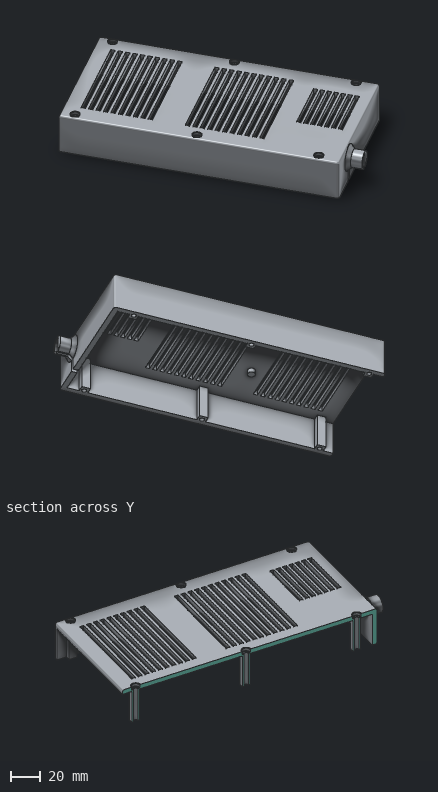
import cadquery as cq

total_length = 207.0
body_length = 196.0
body_width = 98.0
body_height = 29.0
edge_radius = 2.0
wall = 4.0
left_face = -body_length / 2
right_face = body_length / 2
back_face = body_width / 2
ceiling = body_height - wall

post_length = 6.2
post_width = 7.0
screw_first_x = left_face + 10.4
screw_span_x = 170.0
screw_columns = 3
screw_pitch_x = screw_span_x / (screw_columns - 1)
screw_pitch_y = 88.5
screw_offset_y = 0.6
screw_diameter = 3.3
screw_head_diameter = 6.0
screw_head_depth = 2.5
screw_rim_chamfer = 0.5
screw_lead_in = 0.6
chamfer_angle = 45

large_slot_rows = [(12.0, 49.7, 10), (84.7, 54.9, 11)]
small_slot_row = (155.0, 31.9, 7)
slot_width = 3.0
large_slot_length = 70.4
large_slot_centre_y = back_face - 48.9
small_slot_length = 40.0
small_slot_centre_y = back_face - 39.1

pin_diameter = 5.4
pin_length = 3.3
pin_x = left_face + 72.7
pin_back_y = back_face - 20.3
pin_spacing = 40.2

outlet_y = back_face - 75.0
outlet_z = 18.5
outlet_diameter = 12.8
outlet_flare = 3.1
flare_root = 2.0
tube_length = total_length - body_length
cable_diameter = 10.0
cable_slit = 2.7


def cover_shell():
    """Rounded box, open underneath and at the -X end."""
    block = cq.Workplane("XY").box(body_length, body_width, body_height, centered=(True, True, False))
    block = block.edges("|Z").fillet(edge_radius)
    block = block.faces(">Z").edges().fillet(edge_radius)
    cavity = cq.Workplane("XY").box(
        body_length, body_width - 2 * wall, ceiling, centered=(True, True, False)
    )
    return block.cut(cavity.translate((-wall, 0, 0)))


def screw_centres():
    """Centres of the two rows of screws along the long walls."""
    return [
        (screw_first_x + column * screw_pitch_x, screw_offset_y + side * screw_pitch_y / 2)
        for column in range(screw_columns)
        for side in (-1, 1)
    ]


def screw_posts():
    """Full-height rectangular posts merging into the long walls."""
    return cq.Workplane("XY").pushPoints(screw_centres()).rect(post_length, post_width).extrude(ceiling)


def screw_plugs(top, diameter, depth, taper=0):
    """One downward plug per screw, narrowing by the taper angle."""
    plane = cq.Workplane("XY", origin=(0, 0, top))
    return plane.pushPoints(screw_centres()).circle(diameter / 2).extrude(-depth, taper=taper)


def screw_holes():
    """Through holes with a chamfered counterbore and a conical lead-in at its floor."""
    head_floor = body_height - screw_head_depth
    rim_diameter = screw_head_diameter + 2 * screw_rim_chamfer
    lead_in_diameter = screw_diameter + 2 * screw_lead_in
    return (
        screw_plugs(body_height, screw_diameter, body_height)
        .union(screw_plugs(body_height, screw_head_diameter, screw_head_depth))
        .union(screw_plugs(body_height, rim_diameter, screw_rim_chamfer, taper=chamfer_angle))
        .union(screw_plugs(head_floor, lead_in_diameter, screw_lead_in, taper=chamfer_angle))
    )


def vent_slots(offset, row_length, count, slot_length, centre_y):
    """Evenly spaced row of slots through the top plate, starting at an offset from the -X face."""
    pitch = (row_length - slot_width) / (count - 1)
    first_x = left_face + offset + slot_width / 2
    centres = [(first_x + index * pitch, centre_y) for index in range(count)]
    return (
        cq.Workplane("XY", origin=(0, 0, ceiling))
        .pushPoints(centres)
        .rect(slot_width, slot_length)
        .extrude(wall)
    )


def locating_pins():
    """Two round pins hanging from the ceiling."""
    centres = [(pin_x, pin_back_y), (pin_x, pin_back_y - pin_spacing)]
    return (
        cq.Workplane("XY", origin=(0, 0, ceiling))
        .pushPoints(centres)
        .circle(pin_diameter / 2)
        .extrude(-pin_length)
    )


def cable_outlet():
    """Tube along X with a 45 degree flare rooted in the wall."""
    radius = outlet_diameter / 2
    profile = [
        (-flare_root, 0),
        (-flare_root, radius + outlet_flare),
        (0, radius + outlet_flare),
        (outlet_flare, radius),
        (tube_length, radius),
        (tube_length, 0),
    ]
    return (
        cq.Workplane("XY")
        .polyline(profile)
        .close()
        .revolve(360, (0, 0, 0), (1, 0, 0))
        .translate((right_face, outlet_y, outlet_z))
    )


def cable_passage():
    """Half-round cable channel on the -Y side of a slit that opens downward."""
    start = right_face - wall
    length = tube_length + wall
    slit = cq.Workplane("XY").box(length, cable_slit, outlet_z, centered=(False, True, False))
    slit = slit.translate((start, outlet_y, 0))
    channel = (
        cq.Workplane("YZ", origin=(start, outlet_y, outlet_z)).circle(cable_diameter / 2).extrude(length)
    )
    kept_side = cq.Workplane("XY").box(length, cable_diameter, body_height, centered=(False, False, False))
    kept_side = kept_side.translate((start, outlet_y + cable_slit / 2 - cable_diameter, 0))
    return slit.union(channel.intersect(kept_side))


result = cover_shell().union(screw_posts()).union(locating_pins()).union(cable_outlet())
result = result.cut(screw_holes()).cut(cable_passage())
for offset, row_length, count in large_slot_rows:
    result = result.cut(vent_slots(offset, row_length, count, large_slot_length, large_slot_centre_y))
result = result.cut(vent_slots(*small_slot_row, small_slot_length, small_slot_centre_y))